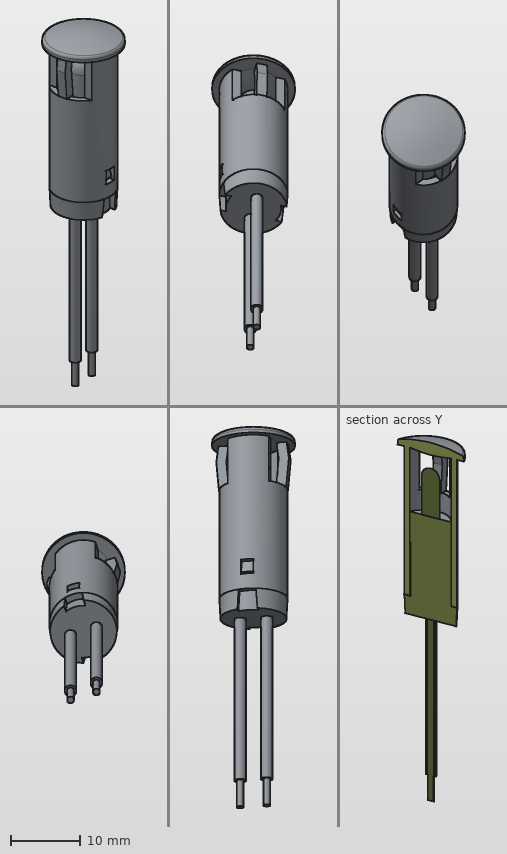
import cadquery as cq
import math


flange_dia = 12.0
flange_fillet = 0.5
lens_height = 1.8
lens_radius = 19.65
tube_dia = 9.9
bore_dia = 8.0
tube_length = 23.5

opening_height = 6.85
column_width = 6.1
finger_width = 1.55
finger_thickness = 1.5
finger_peak_depth = 2.4
finger_peak_reach = 5.35
finger_top_reach = 5.0

latch_width = 1.9
latch_window_height = 2.2
latch_window_top = -19.0
latch_tooth_height = 1.75
latch_tooth_reach = 4.5

base_skirt_height = 2.95
base_bottom_dia = 9.65
notch_top_width = 2.55
notch_bottom_width = 2.95

led_dia = 5.0
led_length = 8.6
led_top = -1.4

wire_pitch = 3.95
insulation_dia = 1.7
insulation_length = 24.7
core_dia = 1.0
core_bare_length = 4.05

tube_radius = tube_dia / 2
bore_radius = bore_dia / 2
flange_radius = flange_dia / 2
tube_bottom = -tube_length
base_bottom = tube_bottom - base_skirt_height
base_top = led_top - led_length
insulation_bottom = base_bottom - insulation_length
core_bottom = insulation_bottom - core_bare_length


def cylinder(radius, bottom, top, y=0):
    return cq.Workplane("XY", origin=(0, y, bottom)).circle(radius).extrude(top - bottom)


def make_lens():
    """Biconvex lens with the flange as its rim, revolved about Z."""
    centre_z = lens_height - lens_radius
    fillet_x = flange_radius - flange_fillet
    tilt = math.asin(fillet_x / (lens_radius - flange_fillet))
    fillet_z = centre_z + (lens_radius - flange_fillet) * math.cos(tilt)
    middle_tilt = (tilt + math.pi / 2) / 2

    def on_dome(angle):
        return (lens_radius * math.sin(angle), centre_z + lens_radius * math.cos(angle))

    def on_fillet(angle):
        return (fillet_x + flange_fillet * math.sin(angle), fillet_z + flange_fillet * math.cos(angle))

    half_angle = math.asin(bore_radius / lens_radius)
    lower_centre_z = lens_radius * math.cos(half_angle)
    lower_middle = (
        lens_radius * math.sin(half_angle / 2),
        lower_centre_z - lens_radius * math.cos(half_angle / 2),
    )
    profile = (
        cq.Workplane("XZ")
        .moveTo(0, lens_height)
        .threePointArc(on_dome(tilt / 2), on_dome(tilt))
        .threePointArc(on_fillet(middle_tilt), on_fillet(math.pi / 2))
        .lineTo(flange_radius, 0)
        .lineTo(bore_radius, 0)
        .threePointArc(lower_middle, (0, lower_centre_z - lens_radius))
        .close()
    )
    return profile.revolve(360, (0, 0, 0), (0, 1, 0))


def make_finger(side):
    """Kinked snap finger across an opening; side is +1 or -1 along Y."""
    outline = [
        (finger_top_reach, 0),
        (finger_peak_reach, -finger_peak_depth),
        (tube_radius, -opening_height),
    ]
    outline += [(reach - finger_thickness, z) for reach, z in reversed(outline)]
    points = [(side * reach, z) for reach, z in outline]
    return cq.Workplane("YZ").polyline(points).close().extrude(finger_width / 2, both=True)


def make_housing():
    tube = cylinder(tube_radius, tube_bottom, 0).cut(cylinder(bore_radius, tube_bottom, 0))
    columns = cq.Workplane("XY").box(tube_dia, column_width, opening_height, centered=(True, True, False))
    columns = columns.translate((0, 0, -opening_height))
    opening = cylinder(tube_radius, -opening_height, 0).cut(columns)
    latch_windows = (
        cq.Workplane("XY", origin=(0, 0, latch_window_top - latch_window_height))
        .rect(tube_dia, latch_width)
        .extrude(latch_window_height)
    )
    housing = tube.cut(opening).cut(latch_windows).union(make_lens())
    for side in (-1, 1):
        housing = housing.union(make_finger(side))
    return housing


def make_latch_teeth():
    """Ramps on both X sides that widen downwards to a catching edge."""
    tooth_bottom = latch_window_top - latch_tooth_height
    cone = (
        cq.Workplane("XZ")
        .polyline([
            (0, latch_window_top),
            (bore_radius, latch_window_top),
            (latch_tooth_reach, tooth_bottom),
            (0, tooth_bottom),
        ])
        .close()
        .revolve(360, (0, 0, 0), (0, 1, 0))
    )
    band = (
        cq.Workplane("XY", origin=(0, 0, tooth_bottom))
        .rect(tube_dia, latch_width)
        .extrude(latch_tooth_height)
    )
    return cone.intersect(band)


def make_base():
    """Plug inside the tube with a tapered skirt below it, notched on both X sides."""
    skirt = (
        cq.Workplane("XZ")
        .polyline([
            (0, tube_bottom),
            (tube_radius, tube_bottom),
            (base_bottom_dia / 2, base_bottom),
            (0, base_bottom),
        ])
        .close()
        .revolve(360, (0, 0, 0), (0, 1, 0))
    )
    notches = (
        cq.Workplane("YZ")
        .polyline([
            (-notch_top_width / 2, tube_bottom),
            (notch_top_width / 2, tube_bottom),
            (notch_bottom_width / 2, base_bottom),
            (-notch_bottom_width / 2, base_bottom),
        ])
        .close()
        .extrude(tube_radius, both=True)
    )
    plug = cylinder(bore_radius, base_bottom, base_top)
    return skirt.cut(notches).union(plug).union(make_latch_teeth())


def make_led():
    led_radius = led_dia / 2
    body = cylinder(led_radius, base_top, led_top - led_radius)
    dome = cq.Workplane("XY").sphere(led_radius).translate((0, 0, led_top - led_radius))
    return body.union(dome)


def make_insulation(y):
    sleeve = cylinder(insulation_dia / 2, insulation_bottom, base_bottom, y)
    return sleeve.cut(cylinder(core_dia / 2, insulation_bottom, base_bottom, y))


def make_core(y):
    return cylinder(core_dia / 2, core_bottom, base_bottom, y)


housing = make_housing()
base = make_base()
led = make_led()
wire_positions = (-wire_pitch / 2, wire_pitch / 2)
insulations = [make_insulation(y).val() for y in wire_positions]
cores = [make_core(y).val() for y in wire_positions]

result = cq.Compound.makeCompound([housing.val(), base.val(), led.val(), *insulations, *cores])